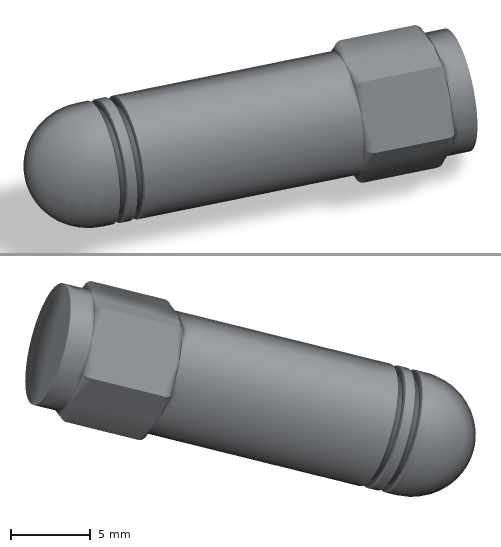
import cadquery as cq
import math

total_length = 28.5

across_flats = 7.92
hex_length = 5.93
collar_length = 1.57
collar_radius = 3.93
corner_round = 0.55
mid_flat_round = 0.1
side_count = 6

tube_radius = across_flats / 2
dome_length = 4.1
groove_count = 2
groove_width = 0.5
groove_depth = 0.57
groove_pitch = 1.15
dome_to_groove = 0.75

apothem = across_flats / 2
side_angle = 360 / side_count
half_side = apothem * math.tan(math.radians(side_angle / 2))
across_corners = across_flats / math.cos(math.radians(side_angle / 2))
miter_length = corner_round * math.tan(math.radians(side_angle / 2))
antenna_length = total_length - hex_length - collar_length
dome_start = dome_length - antenna_length


def cylinder(radius, y_start, length):
    """Cylinder on the Y axis running from y_start toward +Y."""
    return cq.Workplane("XZ", origin=(0, y_start, 0)).circle(radius).extrude(-length)


def rounding_section(x, radius):
    """Corner between the top flat and the Y = 0 end face, outside a quarter circle."""
    corner = cq.Vector(x, 0, apothem)
    on_flat = cq.Vector(x, radius, apothem)
    on_end = cq.Vector(x, 0, apothem - radius)
    diagonal = radius * (1 - math.sqrt(0.5))
    arc_middle = cq.Vector(x, diagonal, apothem - diagonal)
    return cq.Wire.assembleEdges([
        cq.Edge.makeLine(corner, on_flat),
        cq.Edge.makeThreePointArc(on_flat, arc_middle, on_end),
        cq.Edge.makeLine(on_end, corner),
    ])


def edge_cutter():
    """Material removed along one hex edge: widest at the corners, smallest at mid-flat."""
    taper_end = half_side - miter_length
    stations = [
        (-half_side, corner_round),
        (-taper_end, corner_round),
        (0, mid_flat_round),
        (taper_end, corner_round),
        (half_side, corner_round),
    ]
    sections = [rounding_section(x, radius) for x, radius in stations]
    return cq.Workplane(cq.Solid.makeLoft(sections, True))


def make_nut():
    """Hex with rounded end edges and a collar on its +Y end."""
    nut = (
        cq.Workplane("XZ")
        .polygon(side_count, across_corners)
        .extrude(-hex_length)
    )
    front_cutter = edge_cutter()
    rear_cutter = front_cutter.mirror("XZ").translate((0, hex_length, 0))
    for side in range(side_count):
        for cutter in (front_cutter, rear_cutter):
            nut = nut.cut(cutter.rotate((0, 0, 0), (0, 1, 0), side * side_angle))
    return nut.union(cylinder(collar_radius, hex_length, collar_length))


def make_dome():
    """Rounded tip, revolved from a quarter ellipse about the Y axis."""
    return (
        cq.Workplane("XY")
        .moveTo(0, dome_start)
        .lineTo(tube_radius, dome_start)
        .ellipseArc(tube_radius, dome_length, 270, 360, startAtCurrent=True, sense=-1)
        .close()
        .revolve(360, (0, 0, 0), (0, 1, 0))
    )


def make_antenna():
    """Tube with ring grooves behind the domed tip."""
    antenna = cylinder(tube_radius, dome_start, -dome_start)
    for groove in range(groove_count):
        groove_start = dome_start + dome_to_groove + groove * groove_pitch
        ring = cylinder(tube_radius, groove_start, groove_width).cut(
            cylinder(tube_radius - groove_depth, groove_start, groove_width)
        )
        antenna = antenna.cut(ring)
    return antenna.union(make_dome())


nut = make_nut()
antenna = make_antenna()

result = cq.Compound.makeCompound([nut.val(), antenna.val()])